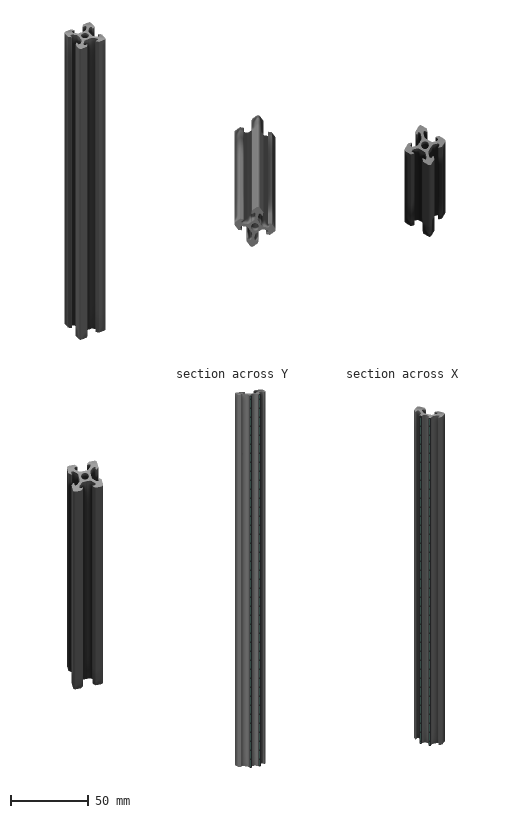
import cadquery as cq

side = 20.0
length = 250.0
corner_radius = 1.5
bore_diameter = 5.0

mouth_width = 9.4
throat_width = 6.4
cavity_width = 10.6
lip_thickness = 2.0
core_width = 8.0
web_thickness = 1.8
floor_corner_radius = 1.8
lip_corner_radius = 0.25
web_corner_radius = 0.5
groove_width = 0.6
groove_depth = 0.2

half_side = side / 2
half_mouth = mouth_width / 2
half_throat = throat_width / 2
half_cavity = cavity_width / 2
half_core = core_width / 2
lip_height = half_side - lip_thickness
bevel_height = half_side - (half_mouth - half_throat)
web_offset = web_thickness / 2**0.5
half_floor = half_core - web_offset
cavity_corner_height = half_cavity + web_offset


def bar_blank():
    """Square bar with rounded long edges."""
    return cq.Workplane("XY").rect(side, side).extrude(length).edges("|Z").fillet(corner_radius)


def round_edge_pair(body, corner, radius):
    """Fillet the lengthwise edge of body at corner and the edge mirrored across the slot."""
    x, y = corner
    for edge_x in (x, -x):
        edge = cq.selectors.NearestToPointSelector((edge_x, y, length / 2))
        body = body.edges(edge).fillet(radius)
    return body


def slot_cutter():
    """Full-length cutter for the slot that opens toward +Y, with its floor groove."""
    floor_corner = (half_floor, half_core)
    web_corner = (half_cavity, cavity_corner_height)
    lip_corner = (half_cavity, lip_height)
    right_half = [
        floor_corner,
        web_corner,
        lip_corner,
        (half_throat, lip_height),
        (half_throat, bevel_height),
        (half_mouth, half_side),
    ]
    left_half = [(-x, y) for x, y in reversed(right_half)]
    slot = cq.Workplane("XY").polyline(right_half + left_half).close().extrude(length)
    slot = round_edge_pair(slot, floor_corner, floor_corner_radius)
    slot = round_edge_pair(slot, web_corner, web_corner_radius)
    slot = round_edge_pair(slot, lip_corner, lip_corner_radius)

    groove_outline = [
        (-groove_width / 2, half_core),
        (0, half_core - groove_depth),
        (groove_width / 2, half_core),
    ]
    groove = cq.Workplane("XY").polyline(groove_outline).close().extrude(length)
    return slot.union(groove)


def bore_cutter():
    """Full-length cutter for the central bore."""
    return cq.Workplane("XY").circle(bore_diameter / 2).extrude(length)


result = bar_blank().cut(bore_cutter())
slot = slot_cutter()
for quarter_turn in range(4):
    result = result.cut(slot.rotate((0, 0, 0), (0, 0, 1), 90 * quarter_turn))